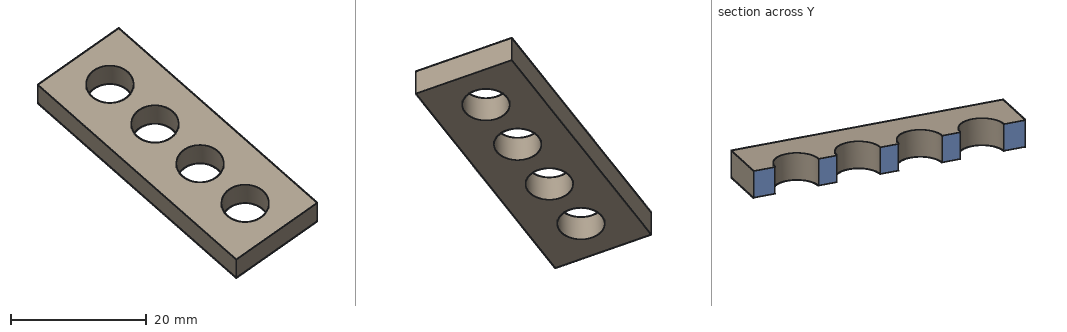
import cadquery as cq

length = 44.0
width = 16.0
thickness = 4.4

hole_count = 4
hole_diameter = 7.0
hole_pitch = 10.0

plate = cq.Workplane("XY").box(length, width, thickness)

result = (
    plate.faces(">Z")
    .workplane()
    .rarray(hole_pitch, 0.45, hole_count, 1)
    .hole(hole_diameter)
)